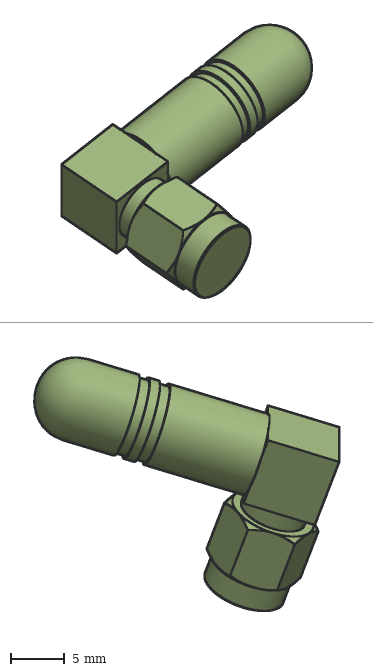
import cadquery as cq
import math


block_size = 7.0
block_face = block_size / 2

antenna_diameter = 7.9
antenna_radius = antenna_diameter / 2
antenna_tip = 25.0
dome_radius = 3.8
lower_body_length = 9.75
groove_width = 1.0
groove_spacing = 2.0
groove_depth = 0.25
groove_count = 2

neck_diameter = 6.3
neck_length = 1.8
nut_sides = 6
nut_across_flats = 8.0
nut_length = 6.0
nut_chamfer_length = 0.47
sleeve_diameter = 7.8
sleeve_length = 2.4
sleeve_chamfer = 0.1

nut_start = block_face + neck_length
sleeve_start = nut_start + nut_length


def rod_along_x(diameter, start, length):
    """Solid cylinder on the connector axis."""
    return cq.Workplane("YZ").workplane(offset=start).circle(diameter / 2).extrude(length)


def make_antenna():
    """Round whip with a domed tip and a pair of shallow ring grooves."""
    length = antenna_tip - block_face
    whip = cq.Workplane("XZ", origin=(0, block_face, 0)).circle(antenna_radius).extrude(-length)
    whip = whip.faces(">Y").edges().fillet(dome_radius)
    for index in range(groove_count):
        groove_start = block_face + lower_body_length + index * groove_spacing
        ring = (
            cq.Workplane("XZ", origin=(0, groove_start, 0))
            .circle(antenna_radius)
            .circle(antenna_radius - groove_depth)
            .extrude(-groove_width)
        )
        whip = whip.cut(ring)
    return whip


def make_nut():
    """Hexagon nut, flats facing +Z and -Z, with its corners chamfered at both ends."""
    end_radius = nut_across_flats / 2
    corner_radius = end_radius / math.cos(math.pi / nut_sides)
    nut_plane = cq.Workplane("YZ").workplane(offset=nut_start)
    hexagon = nut_plane.polygon(nut_sides, 2 * corner_radius).extrude(nut_length)
    envelope = (
        cq.Workplane("XY")
        .moveTo(nut_start, 0)
        .lineTo(nut_start, end_radius)
        .lineTo(nut_start + nut_chamfer_length, corner_radius)
        .lineTo(sleeve_start - nut_chamfer_length, corner_radius)
        .lineTo(sleeve_start, end_radius)
        .lineTo(sleeve_start, 0)
        .close()
        .revolve(360, (0, 0, 0), (1, 0, 0))
    )
    return hexagon.intersect(envelope)


def make_connector():
    """Neck, coupling nut and end sleeve."""
    neck = rod_along_x(neck_diameter, block_face, neck_length)
    sleeve = rod_along_x(sleeve_diameter, sleeve_start, sleeve_length)
    sleeve = sleeve.faces(">X").edges().chamfer(sleeve_chamfer)
    return neck.union(make_nut()).union(sleeve)


block = cq.Workplane("XY").box(block_size, block_size, block_size)
result = block.union(make_antenna()).union(make_connector())